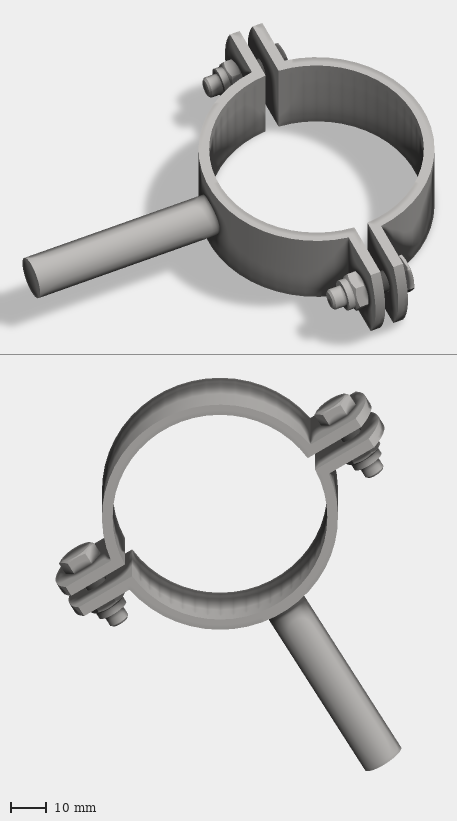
import cadquery as cq
import math

ring_outer_radius = 33.12
band_thickness = 3.0
ring_inner_radius = ring_outer_radius - band_thickness
band_width = 25.0
half_gap = 2.0
ear_outer_face = half_gap + band_thickness
overall_width = 102.0
ear_end_radius = band_width
bolt_spacing = 83.9
bolt_hole_diameter = 6.5

rod_diameter = 12.0
overall_depth = 121.03
rod_end_y = ring_outer_radius - overall_depth

bolt_diameter = 6.0
bolt_length = 20.0
bolt_tip_diameter = 4.8
bolt_tip_chamfer = (bolt_diameter - bolt_tip_diameter) / 2
hex_across_flats = 10.0
hex_across_corners = hex_across_flats / math.cos(math.radians(30))
head_height = 4.0
head_face_diameter = 8.9
head_bevel_angle = 20.0

nut_hex_height = 4.0
nut_height = 6.0
nut_collar_diameter = 8.9
nut_bevel_angle = 30.0


def cylinder_along_y(diameter, start_y, end_y):
    """Cylinder on the Y axis, from the lower start_y to the higher end_y."""
    height = end_y - start_y
    return cq.Workplane("XZ", origin=(0, end_y, 0)).circle(diameter / 2).extrude(height)


def hexagon_along_y(start_y, end_y):
    """Hexagonal prism on the Y axis with corners pointing along X."""
    height = end_y - start_y
    return cq.Workplane("XZ", origin=(0, end_y, 0)).polygon(6, hex_across_corners).extrude(height)


def bevel_envelope(start_y, end_y, face_diameter, angle, bevel_start):
    """Round body that cuts the hexagon corners to a cone at end_y, and at start_y if asked."""
    face_radius = face_diameter / 2
    corner_radius = hex_across_corners / 2
    bevel_depth = (corner_radius - face_radius) * math.tan(math.radians(angle))
    outline = cq.Workplane("XY").moveTo(0, start_y)
    if bevel_start:
        outline = outline.lineTo(face_radius, start_y).lineTo(corner_radius, start_y + bevel_depth)
    else:
        outline = outline.lineTo(corner_radius, start_y)
    outline = outline.lineTo(corner_radius, end_y - bevel_depth).lineTo(face_radius, end_y)
    return outline.lineTo(0, end_y).close().revolve(360, (0, 0, 0), (0, 1, 0))


def make_half_band():
    """Half ring on the +Y side with an ear at each end."""
    ring = cq.Workplane("XY").circle(ring_outer_radius).extrude(band_width / 2, both=True)
    ears = cq.Workplane("XY").box(overall_width, 2 * ear_outer_face, band_width)
    ear_center_x = overall_width / 2 - ear_end_radius
    rounded_ends = (
        cq.Workplane("XZ")
        .pushPoints([(-ear_center_x, 0), (ear_center_x, 0)])
        .circle(ear_end_radius)
        .extrude(ear_outer_face, both=True)
    )
    band = ring.union(ears.intersect(rounded_ends))

    bore = cq.Workplane("XY").circle(ring_inner_radius).extrude(band_width, both=True)
    bolt_holes = (
        cq.Workplane("XZ")
        .pushPoints([(-bolt_spacing / 2, 0), (bolt_spacing / 2, 0)])
        .circle(bolt_hole_diameter / 2)
        .extrude(ear_outer_face, both=True)
    )
    kept_side = (
        cq.Workplane("XY")
        .box(overall_width, ring_outer_radius, band_width, centered=(True, False, True))
        .translate((0, half_gap, 0))
    )
    return band.cut(bore).cut(bolt_holes).intersect(kept_side)


def make_rod_half():
    """Half ring on the -Y side with the support rod joined to its outer surface."""
    rod = cylinder_along_y(rod_diameter, rod_end_y, -(ring_inner_radius + ring_outer_radius) / 2)
    return make_half_band().mirror("XZ").union(rod)


def make_bolt():
    """Bolt with its head seated on the +Y ear and its tip pointing along -Y."""
    head_top = ear_outer_face + head_height
    head = hexagon_along_y(ear_outer_face, head_top).intersect(
        bevel_envelope(ear_outer_face, head_top, head_face_diameter, head_bevel_angle, False)
    )
    shank = cylinder_along_y(bolt_diameter, ear_outer_face - bolt_length, ear_outer_face)
    return head.union(shank.faces("<Y").chamfer(bolt_tip_chamfer))


def make_nut():
    """Lock nut seated on the -Y ear, its collar pointing along -Y."""
    seat_y = -ear_outer_face
    hex_end_y = seat_y - nut_hex_height
    hexagon = hexagon_along_y(hex_end_y, seat_y).intersect(
        bevel_envelope(hex_end_y, seat_y, nut_collar_diameter, nut_bevel_angle, True)
    )
    collar = cylinder_along_y(nut_collar_diameter, seat_y - nut_height, seat_y)
    bore = cylinder_along_y(bolt_diameter, seat_y - nut_height, seat_y)
    return hexagon.union(collar).cut(bore)


plain_half = make_half_band()
rod_half = make_rod_half()
fasteners = []
for bolt_x in (-bolt_spacing / 2, bolt_spacing / 2):
    for fastener in (make_bolt(), make_nut()):
        fasteners.append(fastener.translate((bolt_x, 0, 0)).val())

result = cq.Compound.makeCompound([plain_half.val(), rod_half.val(), *fasteners])